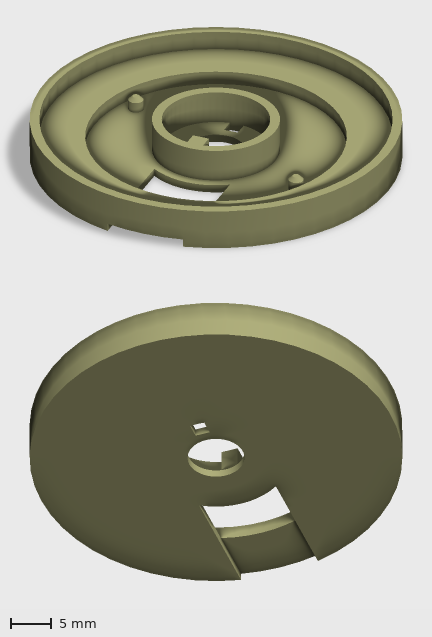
import cadquery as cq

outer_diameter = 45.9
height = 5.2
rim_bore_diameter = 43.5
ledge_height = 2.75
recess_diameter = 32.2
floor_thickness = 1.0

hub_diameter = 15.8
hub_bore_diameter = 13.35
center_hole_diameter = 7.0

key_width = 2.1
key_inner_distance = 4.77
key_hole_width = 1.85
key_hole_inner_distance = 4.75

slot_width = 10.1
collar_diameter = 18.18

pin_diameter = 1.9
pin_height = 1.85
pin_chamfer = 0.5
pin_x = 12.95
pin_y = 5.32


def cylinder(diameter, bottom, top):
    """Upright cylinder on the part axis."""
    return cq.Workplane("XY").workplane(offset=bottom).circle(diameter / 2).extrude(top - bottom)


def block(width, y_start, y_end, bottom, top):
    """Box centered on X that spans the given Y and Z ranges."""
    return (
        cq.Workplane("XY")
        .box(width, y_end - y_start, top - bottom, centered=(True, False, False))
        .translate((0, y_start, bottom))
    )


def make_body():
    body = cylinder(outer_diameter, 0, height)
    body = body.cut(cylinder(rim_bore_diameter, ledge_height, height))
    return body.cut(cylinder(recess_diameter, floor_thickness, ledge_height))


def make_hub():
    hub_bore = cylinder(hub_bore_diameter, floor_thickness, height)
    key_outer_distance = (hub_diameter + hub_bore_diameter) / 4
    key = block(key_width, -key_outer_distance, -key_inner_distance, floor_thickness, height)
    return cylinder(hub_diameter, 0, height).cut(hub_bore).union(key)


def make_slot():
    slot = block(slot_width, -outer_diameter / 2, 0, 0, floor_thickness)
    return slot.cut(cylinder(collar_diameter, 0, floor_thickness))


def make_pin(x, y):
    return (
        cylinder(pin_diameter, 0, floor_thickness + pin_height)
        .faces(">Z")
        .chamfer(pin_chamfer)
        .translate((x, y, 0))
    )


result = make_body().union(make_hub())
for side in (-1, 1):
    result = result.union(make_pin(side * pin_x, -side * pin_y))

center_hole = cylinder(center_hole_diameter, 0, floor_thickness)
key_hole = block(key_hole_width, key_hole_inner_distance, hub_diameter / 2, 0, floor_thickness)
key_hole = key_hole.intersect(cylinder(hub_bore_diameter, 0, floor_thickness))
result = result.cut(make_slot()).cut(center_hole).cut(key_hole)